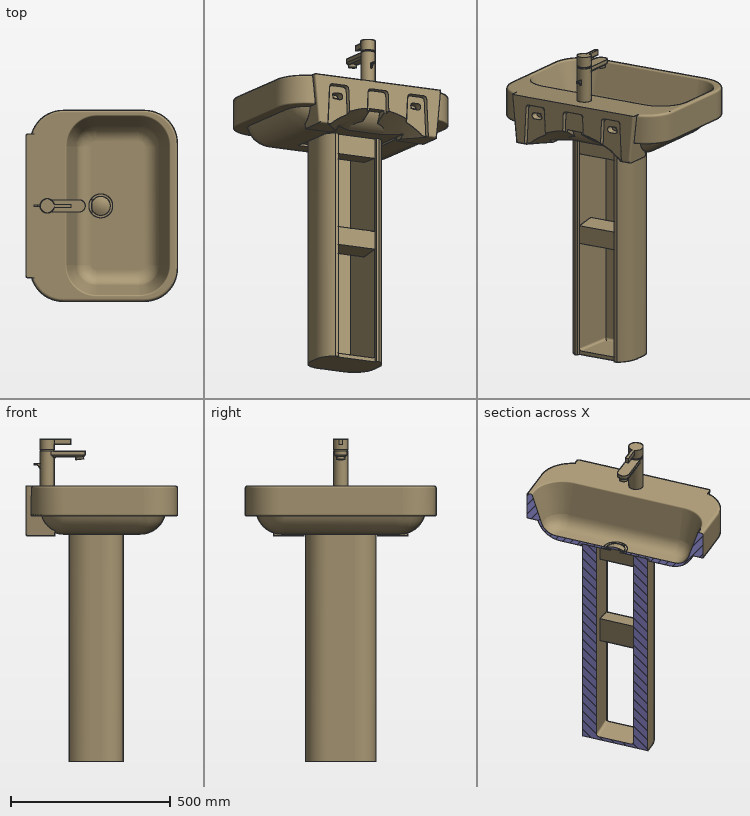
import cadquery as cq

BASIN_DEPTH = 476.0
BASIN_WIDTH = 600.0
RIM_Z = 865.0
APRON_BOTTOM_Z = 771.0
APRON_BACK_X = 13.0
APRON_CORNER_RADIUS = 104.0
RIM_EDGE_RADIUS = 8.0
APRON_EDGE_RADIUS = 4.0

BOWL_BOTTOM_Z = 714.0
BOWL_BACK_X = 37.0
BOWL_FRONT_X = 439.0
BOWL_WIDTH = 532.0
BOWL_TOP_Z = 805.0
BOWL_CORNER_RADIUS = 87.0
BOWL_BOTTOM_RADIUS = 81.0

INSIDE_BACK_X = 128.0
INSIDE_FRONT_X = 451.0
INSIDE_WIDTH = 563.0
INSIDE_FLOOR_Z = 731.0
INSIDE_CORNER_RADIUS = 95.0
INSIDE_DRAFT = 18.0
INSIDE_FLOOR_RADIUS = 49.0
INSIDE_RIM_RADIUS = 5.0

BRACKET_DEPTH = 91.0
BRACKET_EDGE_RADIUS = 6.0
BRACKET_BOTTOM_Z = 709.0
BRACKET_TOP_WIDTH = 451.0
BRACKET_BOTTOM_WIDTH = 421.0
ARCH_TOP_Z = 778.0
ARCH_HALF_SPAN = 178.0
ARCH_DRAFT = 30.0
POCKET_DEPTH = 10.0
POCKET_DRAFT = 20.0
POCKET_TOP_Z = 840.0
POCKET_CORNER_RADIUS = 12.0
SIDE_POCKET_Y = 140.0
SIDE_POCKET_TOP_WIDTH = 67.0
SIDE_POCKET_BOTTOM_WIDTH = 80.0
CENTRE_POCKET_TOP_WIDTH = 71.0
CENTRE_POCKET_BOTTOM_WIDTH = 81.0
BOLT_SLOT_Z = 805.0
BOLT_SLOT_LENGTH = 35.0
BOLT_SLOT_HEIGHT = 20.0
BOLT_SLOT_DEPTH = 40.0
CHANNEL_WIDTH = 53.0

PEDESTAL_TOP_Z = 721.0
PEDESTAL_BACK_X = 136.0
PEDESTAL_FRONT_X = 306.0
PEDESTAL_WIDTH = 223.0
PEDESTAL_BACK_WIDTH = 156.0
FLANK_START_X = 200.0
FLANK_END_X = 240.0
SEAT_CLEARANCE = 4.0
CAVITY_FRONT_X = 290.0
CAVITY_BACK_WIDTH = 136.0
CAVITY_FRONT_WIDTH = 119.0
CAVITY_FLOOR_Z = 12.0
CAVITY_FLOOR_RADIUS = 8.0
BEAM_SETBACK = 10.0
BEAM_DEPTH = 62.0
BEAM_FLARE = 12.0
BEAM_BOTTOM_Z = 364.0
BEAM_TOP_Z = 422.0
TOP_BEAM_BOTTOM_Z = 658.0

TAP_X = 67.0
TAP_DIAMETER = 46.0
TAP_TOP_Z = 975.0
SPOUT_END_X = 186.0
SPOUT_WIDTH = 38.0
SPOUT_BOTTOM_Z = 957.0
SPOUT_CHAMFER = 6.0
SPOUT_ROOT_RADIUS = 7.0
CAP_BOTTOM_Z = 979.0
CAP_TOP_Z = 1012.0
NECK_DIAMETER = 41.0
LEVER_END_X = 141.0
LEVER_WIDTH = 10.0
LEVER_BOTTOM_Z = 996.0
AERATOR_X = 168.0
AERATOR_DIAMETER = 25.0
AERATOR_TILT = 6.0
AERATOR_BOTTOM_Z = 948.0
AERATOR_TOP_Z = 965.0
PULL_END_X = 25.0
PULL_TOP_Z = 936.0
PULL_ARM_HEIGHT = 5.0
PULL_ROOT_HEIGHT = 16.0
PULL_ROOT_LENGTH = 8.0
PULL_THICKNESS = 4.0
PULL_EMBED = 3.0

DRAIN_X = 235.0
DRAIN_FLANGE_DIAMETER = 75.0
DRAIN_FLANGE_HEIGHT = 6.0
DRAIN_TAIL_DIAMETER = 46.0
DRAIN_BORE_DIAMETER = 35.0
PLUG_DIAMETER = 60.0
PLUG_SEAT_DEPTH = 3.0
PLUG_DOME_HEIGHT = 7.0


def rounded_block(back_x, front_x, width, bottom_z, top_z, corner_radius):
    """Upright block centred on Y = 0 with rounded vertical edges."""
    depth = front_x - back_x
    block = cq.Workplane("XY").box(depth, width, top_z - bottom_z, centered=(False, True, False))
    return block.translate((back_x, 0, bottom_z)).edges("|Z").fillet(corner_radius)


def upright_cylinder(x, diameter, bottom_z, top_z):
    circle = cq.Workplane("XY", origin=(x, 0, bottom_z)).circle(diameter / 2)
    return circle.extrude(top_z - bottom_z)


def trapezoid(centre_y, bottom_width, top_width, bottom_z, top_z):
    """Trapezoid on the wall plane, with +X as the extrusion direction."""
    return cq.Workplane("YZ").polyline([
        (centre_y - bottom_width / 2, bottom_z),
        (centre_y + bottom_width / 2, bottom_z),
        (centre_y + top_width / 2, top_z),
        (centre_y - top_width / 2, top_z),
    ]).close()



def make_apron():
    apron = rounded_block(
        APRON_BACK_X, BASIN_DEPTH, BASIN_WIDTH, APRON_BOTTOM_Z, RIM_Z, APRON_CORNER_RADIUS
    )
    return apron.faces(">Z").edges().fillet(RIM_EDGE_RADIUS).faces("<Z").edges().fillet(APRON_EDGE_RADIUS)


def make_bowl():
    bowl = rounded_block(
        BOWL_BACK_X, BOWL_FRONT_X, BOWL_WIDTH, BOWL_BOTTOM_Z, BOWL_TOP_Z, BOWL_CORNER_RADIUS
    )
    return bowl.faces("<Z").edges().fillet(BOWL_BOTTOM_RADIUS)


def make_inside():
    """Drafted hollow of the basin, narrowing downward to a rounded floor."""
    depth = INSIDE_FRONT_X - INSIDE_BACK_X
    centre_x = (INSIDE_FRONT_X + INSIDE_BACK_X) / 2
    outline = cq.Sketch().rect(depth, INSIDE_WIDTH).vertices().fillet(INSIDE_CORNER_RADIUS)
    hollow = (
        cq.Workplane("XY", origin=(centre_x, 0, RIM_Z))
        .placeSketch(outline)
        .extrude(INSIDE_FLOOR_Z - RIM_Z, taper=INSIDE_DRAFT)
    )
    return hollow.faces("<Z").edges().fillet(INSIDE_FLOOR_RADIUS)


def make_bracket():
    bracket = trapezoid(
        0, BRACKET_BOTTOM_WIDTH, BRACKET_TOP_WIDTH, BRACKET_BOTTOM_Z, RIM_Z
    ).extrude(BRACKET_DEPTH)
    return bracket.faces("<X").edges("not >Z").fillet(BRACKET_EDGE_RADIUS)


def make_arch():
    """Cone along X whose top leaves the arch between the bracket legs, sloping down inward."""
    rise = ARCH_TOP_Z - BRACKET_BOTTOM_Z
    radius = (ARCH_HALF_SPAN**2 + rise**2) / (2 * rise)
    circle = cq.Workplane("YZ", origin=(0, 0, ARCH_TOP_Z - radius)).circle(radius)
    return circle.extrude(BRACKET_DEPTH, taper=ARCH_DRAFT)


def make_pocket(centre_y, bottom_width, top_width):
    """Shallow drafted recess in the wall face, open at the bottom."""
    pocket = trapezoid(centre_y, bottom_width, top_width, BRACKET_BOTTOM_Z, POCKET_TOP_Z).extrude(
        POCKET_DEPTH, taper=POCKET_DRAFT
    )
    lower_end = trapezoid(
        centre_y, bottom_width, bottom_width, BRACKET_BOTTOM_Z - POCKET_DEPTH, BRACKET_BOTTOM_Z
    ).extrude(POCKET_DEPTH)
    corners = pocket.edges(cq.selectors.BoxSelector(
        (-POCKET_DEPTH, centre_y - top_width, POCKET_TOP_Z - POCKET_DEPTH),
        (2 * POCKET_DEPTH, centre_y + top_width, POCKET_TOP_Z + POCKET_DEPTH),
    )).edges("not #X").edges("not |Y")
    return corners.fillet(POCKET_CORNER_RADIUS).union(lower_end)


def make_bolt_slot(centre_y):
    slot = cq.Workplane("YZ", origin=(0, centre_y, BOLT_SLOT_Z))
    return slot.slot2D(BOLT_SLOT_LENGTH, BOLT_SLOT_HEIGHT).extrude(BOLT_SLOT_DEPTH)


def make_channel():
    """Straight notch through the middle of the arch, back to the bowl."""
    channel = cq.Workplane("XY", origin=(0, 0, BRACKET_BOTTOM_Z))
    height = ARCH_TOP_Z - BRACKET_BOTTOM_Z
    return channel.box(BRACKET_DEPTH, CHANNEL_WIDTH, height, centered=(False, True, False))


def round_inside_rim(basin):
    """Round the edge where the inside meets the flat rim."""
    margin = INSIDE_RIM_RADIUS
    rim_edges = cq.selectors.BoxSelector(
        (INSIDE_BACK_X - margin, -INSIDE_WIDTH / 2 - margin, RIM_Z - margin),
        (INSIDE_FRONT_X + margin, INSIDE_WIDTH / 2 + margin, RIM_Z + margin),
        boundingbox=True,
    )
    return basin.edges(rim_edges).fillet(INSIDE_RIM_RADIUS)


def make_pedestal_seat():
    """Flat under the bowl, open at the back, that receives the top of the pedestal."""
    depth = PEDESTAL_FRONT_X + SEAT_CLEARANCE
    width = PEDESTAL_WIDTH + 2 * SEAT_CLEARANCE
    seat = cq.Workplane("XY", origin=(0, 0, BRACKET_BOTTOM_Z))
    return seat.box(depth, width, PEDESTAL_TOP_Z - BRACKET_BOTTOM_Z, centered=(False, True, False))


def make_basin():
    body = make_apron().union(make_bracket()).cut(make_arch()).cut(make_channel())
    body = body.cut(make_pocket(0, CENTRE_POCKET_BOTTOM_WIDTH, CENTRE_POCKET_TOP_WIDTH))
    for side in (-1, 1):
        centre_y = side * SIDE_POCKET_Y
        body = body.cut(make_pocket(centre_y, SIDE_POCKET_BOTTOM_WIDTH, SIDE_POCKET_TOP_WIDTH))
        body = body.cut(make_bolt_slot(centre_y))
    body = body.union(make_bowl()).cut(make_pedestal_seat())
    body = round_inside_rim(body.cut(make_inside()))
    flange_recess = upright_cylinder(
        DRAIN_X, DRAIN_FLANGE_DIAMETER, INSIDE_FLOOR_Z - DRAIN_FLANGE_HEIGHT, INSIDE_FLOOR_Z
    )
    tail_hole = upright_cylinder(DRAIN_X, DRAIN_TAIL_DIAMETER, BOWL_BOTTOM_Z, INSIDE_FLOOR_Z)
    return body.cut(flange_recess).cut(tail_hole)



def make_column():
    """Half outline with a straight flank between two tangent arcs, extruded and mirrored."""
    half_width = PEDESTAL_WIDTH / 2
    half_front = half_width - (PEDESTAL_FRONT_X - FLANK_END_X)
    half = (
        cq.Workplane("XY")
        .moveTo(PEDESTAL_FRONT_X, 0)
        .lineTo(PEDESTAL_FRONT_X, half_front)
        .tangentArcPoint((FLANK_END_X, half_width), relative=False)
        .lineTo(FLANK_START_X, half_width)
        .tangentArcPoint((PEDESTAL_BACK_X, PEDESTAL_BACK_WIDTH / 2), relative=False)
        .lineTo(PEDESTAL_BACK_X, 0)
        .close()
        .extrude(PEDESTAL_TOP_Z)
    )
    return half.union(half.mirror("XZ"))


def make_cavity():
    """Hollow open at the back and the top, narrowing toward the front."""
    cavity = (
        cq.Workplane("XY", origin=(0, 0, CAVITY_FLOOR_Z))
        .polyline([
            (PEDESTAL_BACK_X, -CAVITY_BACK_WIDTH / 2),
            (CAVITY_FRONT_X, -CAVITY_FRONT_WIDTH / 2),
            (CAVITY_FRONT_X, CAVITY_FRONT_WIDTH / 2),
            (PEDESTAL_BACK_X, CAVITY_BACK_WIDTH / 2),
        ])
        .close()
        .extrude(PEDESTAL_TOP_Z - CAVITY_FLOOR_Z)
    )
    return cavity.faces("<Z").edges("not <X").fillet(CAVITY_FLOOR_RADIUS)


def make_back_opening():
    """Full-height strip that sets the beams and the floor back from the rear edges."""
    opening = cq.Workplane("XY", origin=(PEDESTAL_BACK_X, 0, 0))
    return opening.box(BEAM_SETBACK, CAVITY_BACK_WIDTH, PEDESTAL_TOP_Z, centered=(False, True, False))


def make_beam(bottom_z, top_z, flare):
    """Cross beam between the side walls, taller toward the inside by the flare above and below."""
    outer_x = PEDESTAL_BACK_X + BEAM_SETBACK
    inner_x = outer_x + BEAM_DEPTH
    beam = cq.Workplane("XZ").polyline([
        (outer_x, bottom_z),
        (inner_x, bottom_z - flare),
        (inner_x, top_z + flare),
        (outer_x, top_z),
    ]).close()
    return beam.extrude(CAVITY_BACK_WIDTH / 2, both=True)


def make_pedestal():
    beams = make_beam(BEAM_BOTTOM_Z, BEAM_TOP_Z, BEAM_FLARE)
    beams = beams.union(make_beam(TOP_BEAM_BOTTOM_Z, PEDESTAL_TOP_Z, 0))
    return make_column().cut(make_cavity().cut(beams)).cut(make_back_opening())



def make_aerator():
    """Short cylinder, tilted so that its mouth leans toward the front."""
    aerator = upright_cylinder(AERATOR_X, AERATOR_DIAMETER, AERATOR_BOTTOM_Z, AERATOR_TOP_Z)
    pivot = (AERATOR_X, 0, SPOUT_BOTTOM_Z)
    return aerator.rotate(pivot, (AERATOR_X, 1, SPOUT_BOTTOM_Z), -AERATOR_TILT)


def make_spout():
    """Flat arm with a round end, bevelled along its lower edge."""
    length = SPOUT_END_X - TAP_X + SPOUT_WIDTH / 2
    spout = (
        cq.Workplane("XY", origin=(SPOUT_END_X - length / 2, 0, SPOUT_BOTTOM_Z))
        .slot2D(length, SPOUT_WIDTH)
        .extrude(TAP_TOP_Z - SPOUT_BOTTOM_Z)
    )
    return spout.faces("<Z").edges().chamfer(SPOUT_CHAMFER)


def round_spout_root(body):
    """Round the corner between the tap and the underside of the spout."""
    root_x = TAP_X + TAP_DIAMETER / 2
    root_edge = cq.selectors.NearestToPointSelector((root_x, 0, SPOUT_BOTTOM_Z))
    return body.edges(root_edge).fillet(SPOUT_ROOT_RADIUS)


def make_tap_body(aerator, pull):
    body = upright_cylinder(TAP_X, TAP_DIAMETER, RIM_Z, TAP_TOP_Z).union(make_spout())
    return round_spout_root(body).cut(aerator).cut(pull)


def make_cap():
    """Round cap on a thinner neck, with a flat lever."""
    cap = upright_cylinder(TAP_X, TAP_DIAMETER, CAP_BOTTOM_Z, CAP_TOP_Z)
    neck = upright_cylinder(TAP_X, NECK_DIAMETER, TAP_TOP_Z, CAP_BOTTOM_Z)
    lever = cq.Workplane("XY", origin=(TAP_X, 0, LEVER_BOTTOM_Z)).box(
        LEVER_END_X - TAP_X, LEVER_WIDTH, CAP_TOP_Z - LEVER_BOTTOM_Z, centered=(False, True, False)
    )
    return cap.union(neck).union(lever)


def make_pull():
    """Thin waste pull behind the tap: an arm that deepens into a gusset at the tap."""
    tap_back_x = TAP_X - TAP_DIAMETER / 2
    pull = cq.Workplane("XZ").polyline([
        (PULL_END_X, PULL_TOP_Z),
        (tap_back_x + PULL_EMBED, PULL_TOP_Z),
        (tap_back_x + PULL_EMBED, PULL_TOP_Z - PULL_ROOT_HEIGHT),
        (tap_back_x, PULL_TOP_Z - PULL_ROOT_HEIGHT),
        (tap_back_x - PULL_ROOT_LENGTH, PULL_TOP_Z - PULL_ARM_HEIGHT),
        (PULL_END_X, PULL_TOP_Z - PULL_ARM_HEIGHT),
    ]).close()
    return pull.extrude(PULL_THICKNESS / 2, both=True)



def make_plug():
    """Disc with a domed top, seated in the drain flange."""
    seat_z = INSIDE_FLOOR_Z - PLUG_SEAT_DEPTH
    radius = PLUG_DIAMETER / 2
    dome_radius = (radius**2 + PLUG_DOME_HEIGHT**2) / (2 * PLUG_DOME_HEIGHT)
    dome_centre_z = INSIDE_FLOOR_Z + PLUG_DOME_HEIGHT - dome_radius
    blank = upright_cylinder(DRAIN_X, PLUG_DIAMETER, seat_z, INSIDE_FLOOR_Z + PLUG_DOME_HEIGHT)
    ball = cq.Workplane("XY", origin=(DRAIN_X, 0, dome_centre_z)).sphere(dome_radius)
    return blank.intersect(ball)


def make_drain(plug):
    flange = upright_cylinder(
        DRAIN_X, DRAIN_FLANGE_DIAMETER, INSIDE_FLOOR_Z - DRAIN_FLANGE_HEIGHT, INSIDE_FLOOR_Z
    )
    tail = upright_cylinder(DRAIN_X, DRAIN_TAIL_DIAMETER, PEDESTAL_TOP_Z, INSIDE_FLOOR_Z)
    bore = upright_cylinder(DRAIN_X, DRAIN_BORE_DIAMETER, PEDESTAL_TOP_Z, INSIDE_FLOOR_Z)
    return flange.union(tail).cut(bore).cut(plug)


basin = make_basin()
pedestal = make_pedestal()
aerator = make_aerator()
pull = make_pull()
tap_body = make_tap_body(aerator, pull)
cap = make_cap()
plug = make_plug()
drain = make_drain(plug)

result = cq.Compound.makeCompound([
    basin.val(),
    pedestal.val(),
    tap_body.val(),
    cap.val(),
    aerator.val(),
    pull.val(),
    drain.val(),
    plug.val(),
])